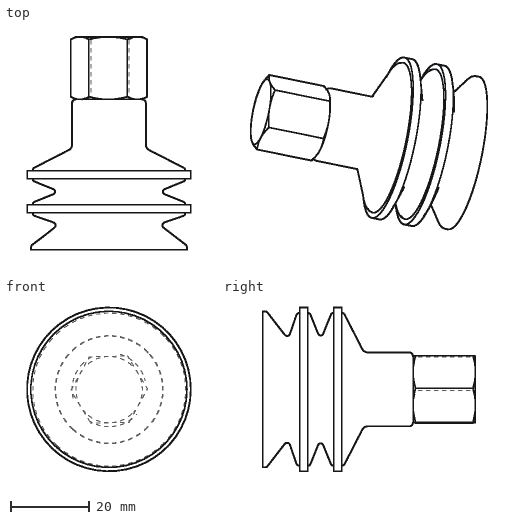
import cadquery as cq
import math

overall_length = 54.55

hex_across_flats = 17.0
hex_length = 16.0
hex_tilt = 1.4
hex_chamfer_height = 0.65

neck_radius = 19.0 / 2
neck_edge_round = 1.0
neck_foot_y = 26.0
neck_foot_setback = 0.95

flange_radius = 42.0 / 2
flange_thickness = 2.1
flange_pitch = 8.7
lower_flange_y = 9.5
upper_flange_y = lower_flange_y + flange_pitch

shoulder_radius = 19.6
shoulder_height = 0.52
lowest_shoulder_height = 0.65

upper_waist_radius = 12.7
upper_waist_y = (lower_flange_y + flange_thickness + upper_flange_y) / 2
upper_waist_setback = 1.7
lower_waist_radius = 12.9
lower_waist_y = 6.55
lower_waist_setback = 1.4

lip_radius = 40.0 / 2
lip_height = 1.07
lip_setback = 0.39

POINT_TOLERANCE = 1e-6

hex_start_y = overall_length - hex_length


def point_toward(start, target, distance):
    """Point at a given distance from start on the line to target."""
    fraction = distance / math.dist(start, target)
    return tuple(a + (b - a) * fraction for a, b in zip(start, target))


def line_unless_there(outline, position, target):
    """Draw a line to target, or nothing where the outline is already at target."""
    if math.dist(position, target) < POINT_TOLERANCE:
        return outline
    return outline.lineTo(*target)


def rounded_outline(corners):
    """Closed (radius, y) outline; a corner's setback is how far from it its tangent arc begins."""
    position = corners[0][:2]
    outline = cq.Workplane("XY").moveTo(*position)
    for index in range(1, len(corners)):
        radius, y, setback = corners[index]
        corner = (radius, y)
        if setback == 0:
            outline = line_unless_there(outline, position, corner)
            position = corner
            continue
        previous_corner = corners[index - 1][:2]
        next_corner = corners[(index + 1) % len(corners)][:2]
        arc_start = point_toward(corner, previous_corner, setback)
        arc_end = point_toward(corner, next_corner, setback)
        chord_middle = tuple((a + b) / 2 for a, b in zip(arc_start, arc_end))
        half_angle = math.acos(math.dist(corner, chord_middle) / setback)
        arc_depth = setback / math.cos(half_angle) - setback * math.tan(half_angle)
        arc_middle = point_toward(corner, chord_middle, arc_depth)
        outline = line_unless_there(outline, position, arc_start)
        outline = outline.threePointArc(arc_middle, arc_end)
        position = arc_end
    return outline.close()


def revolve_about_y(outline):
    return outline.revolve(360, (0, 0, 0), (0, 1, 0))


def flange_corners(bottom_y, bottom_shoulder_height):
    """Outline corners of one flange with a rounded shoulder on each side, going toward +Y."""
    top_y = bottom_y + flange_thickness
    return [
        (shoulder_radius, bottom_y - bottom_shoulder_height, bottom_shoulder_height),
        (shoulder_radius, bottom_y, 0),
        (flange_radius, bottom_y, 0),
        (flange_radius, top_y, 0),
        (shoulder_radius, top_y, 0),
        (shoulder_radius, top_y + shoulder_height, shoulder_height),
    ]


def cup_body():
    corners = [
        (0, 0, 0),
        (lip_radius, 0, 0),
        (lip_radius, lip_height, lip_setback),
        (lower_waist_radius, lower_waist_y, lower_waist_setback),
        *flange_corners(lower_flange_y, lowest_shoulder_height),
        (upper_waist_radius, upper_waist_y, upper_waist_setback),
        *flange_corners(upper_flange_y, shoulder_height),
        (neck_radius, neck_foot_y, neck_foot_setback),
        (neck_radius, hex_start_y, neck_edge_round),
        (0, hex_start_y, 0),
    ]
    return revolve_about_y(rounded_outline(corners))


def hex_fitting():
    """Hexagonal prism whose corners are chamfered at both ends."""
    corner_radius = hex_across_flats / math.sqrt(3)
    end_radius = hex_across_flats / 2
    prism = (
        cq.Workplane("XZ", origin=(0, overall_length, 0))
        .polygon(6, 2 * corner_radius)
        .extrude(hex_length)
        .rotate((0, 0, 0), (0, 1, 0), -hex_tilt)
    )
    envelope = revolve_about_y(
        cq.Workplane("XY").polyline([
            (0, hex_start_y),
            (end_radius, hex_start_y),
            (corner_radius, hex_start_y + hex_chamfer_height),
            (corner_radius, overall_length - hex_chamfer_height),
            (end_radius, overall_length),
            (0, overall_length),
        ]).close()
    )
    return prism.intersect(envelope)


result = cup_body().union(hex_fitting())